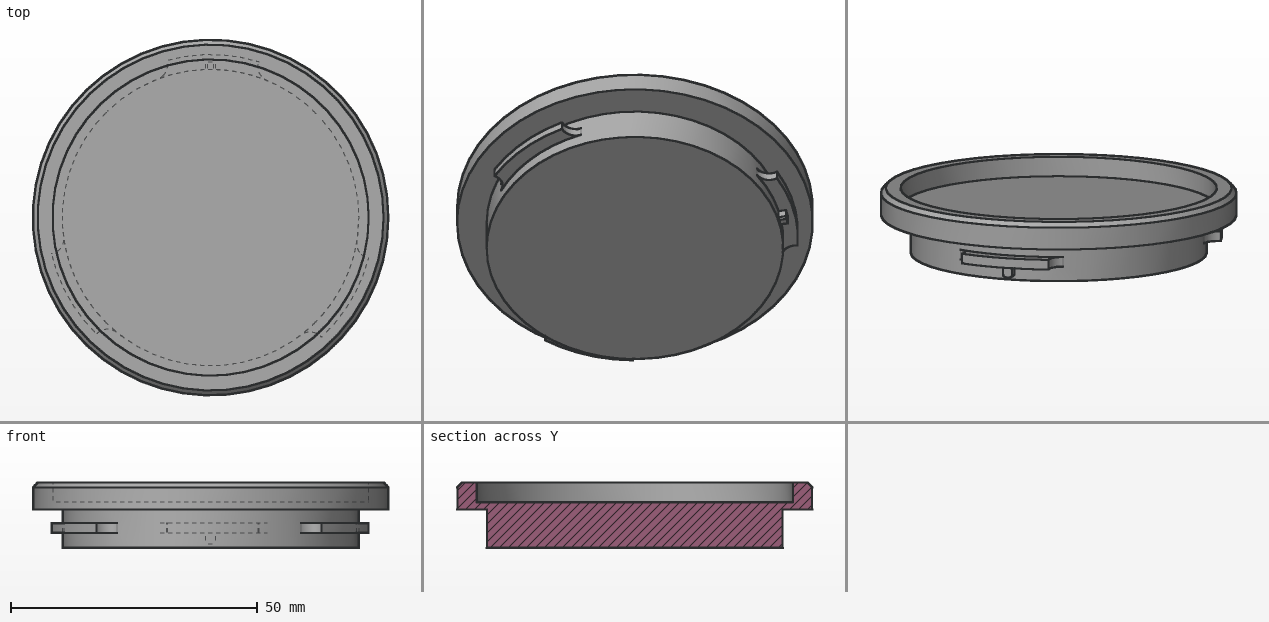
import cadquery as cq
import math

FLANGE_DIAMETER = 72.0
FLANGE_THICKNESS = 5.5
FLANGE_CHAMFER = 1.0
RECESS_DIAMETER = 64.0
RECESS_DEPTH = 4.0

NECK_DIAMETER = 60.0
NECK_HEIGHT = 7.75

TAB_COUNT = 3
TAB_DIAMETER = 66.0
TAB_BOTTOM = 3.0
TAB_THICKNESS = 2.0
TAB_SPAN = 32.8
FIRST_TAB_ANGLE = 89.2

STOP_BOTTOM = 0.75
STOP_REACH = 1.5
STOP_ROOT = 1.5
STOP_WIDTH = 2.0
STOP_CHAMFER = 0.4

NECK_RADIUS = NECK_DIAMETER / 2
TAB_RADIUS = TAB_DIAMETER / 2
TAB_REACH = TAB_RADIUS - NECK_RADIUS


def polar(radius, angle):
    """Point at a radius and an angle in degrees from +X."""
    return (radius * math.cos(math.radians(angle)), radius * math.sin(math.radians(angle)))


def make_body():
    """Neck and chamfered flange, with the recess cut into the top."""
    neck = cq.Workplane("XY").circle(NECK_RADIUS).extrude(NECK_HEIGHT)
    flange = (
        cq.Workplane("XY")
        .workplane(offset=NECK_HEIGHT)
        .circle(FLANGE_DIAMETER / 2)
        .extrude(FLANGE_THICKNESS)
        .faces(">Z")
        .edges()
        .chamfer(FLANGE_CHAMFER)
    )
    recess = (
        cq.Workplane("XY")
        .workplane(offset=NECK_HEIGHT + FLANGE_THICKNESS - RECESS_DEPTH)
        .circle(RECESS_DIAMETER / 2)
        .extrude(RECESS_DEPTH)
    )
    return neck.union(flange).cut(recess)


def make_tab(middle_angle):
    """Ring segment whose ends run down to the neck in concave fillets."""
    fillet_radius = TAB_REACH
    fillet_centre_radius = NECK_RADIUS + fillet_radius
    fillet_angle = math.degrees(math.asin(fillet_radius / fillet_centre_radius))
    end_face_radius = fillet_centre_radius * math.cos(math.radians(fillet_angle))

    half_span = TAB_SPAN / 2
    start = middle_angle - half_span
    end = middle_angle + half_span

    def fillet_middle(side):
        """Point halfway along the fillet arc; side is -1 at the start and +1 at the end."""
        centre_angle = middle_angle + side * (half_span + fillet_angle)
        centre_x, centre_y = polar(fillet_centre_radius, centre_angle)
        toward_neck = centre_angle + 180
        turn = side * (90 - fillet_angle) / 2
        offset_x, offset_y = polar(fillet_radius, toward_neck + turn)
        return (centre_x + offset_x, centre_y + offset_y)

    return (
        cq.Workplane("XY")
        .workplane(offset=TAB_BOTTOM)
        .moveTo(*polar(TAB_RADIUS, start))
        .threePointArc(polar(TAB_RADIUS, middle_angle), polar(TAB_RADIUS, end))
        .lineTo(*polar(end_face_radius, end))
        .threePointArc(fillet_middle(1), polar(NECK_RADIUS, end + fillet_angle))
        .lineTo(0, 0)
        .lineTo(*polar(NECK_RADIUS, start - fillet_angle))
        .threePointArc(fillet_middle(-1), polar(end_face_radius, start))
        .close()
        .extrude(TAB_THICKNESS)
    )


def make_stop():
    """Small block on the +Y side, below the first tab, with chamfered lower side edges."""
    outer_y = NECK_RADIUS + STOP_REACH
    inner_y = NECK_RADIUS - STOP_ROOT
    return (
        cq.Workplane("XY")
        .box(STOP_WIDTH, outer_y - inner_y, TAB_BOTTOM - STOP_BOTTOM, centered=(True, False, False))
        .faces("<Z")
        .edges("|Y")
        .chamfer(STOP_CHAMFER)
        .translate((0, inner_y, STOP_BOTTOM))
    )


result = make_body()
for index in range(TAB_COUNT):
    result = result.union(make_tab(FIRST_TAB_ANGLE + index * 360 / TAB_COUNT))
result = result.union(make_stop())